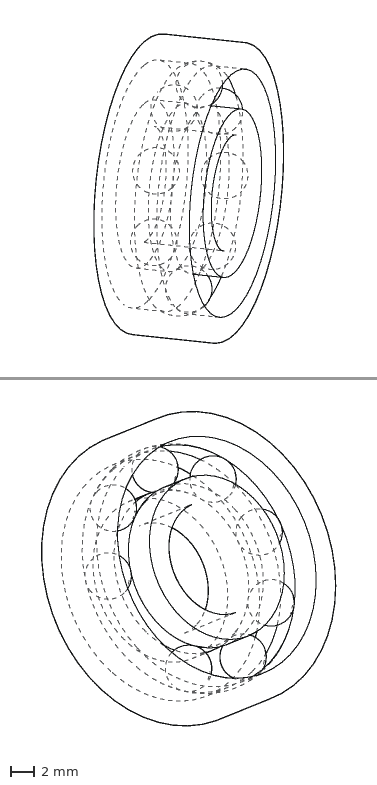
import cadquery as cq
import math

OUTER_DIAMETER = 26.0
BORE_DIAMETER = 10.0
WIDTH = 8.0
INNER_RING_DIAMETER = 14.55
OUTER_RING_BORE = 21.45
EDGE_FILLET = 0.3

BALL_DIAMETER = 4.0
BALL_COUNT = 8
BALL_STEP_ANGLE = 40.75
PITCH_RADIUS = (INNER_RING_DIAMETER + OUTER_RING_BORE) / 4


def plain_ring(outside_diameter, inside_diameter):
    """A flat-faced ring around the X axis."""
    return (
        cq.Workplane("YZ", origin=(-WIDTH / 2, 0, 0))
        .circle(outside_diameter / 2)
        .circle(inside_diameter / 2)
        .extrude(WIDTH)
    )


def make_raceway():
    """The torus swept by a ball rolling around the X axis."""
    return (
        cq.Workplane("XY")
        .center(0, PITCH_RADIUS)
        .circle(BALL_DIAMETER / 2)
        .revolve(360, (0, -PITCH_RADIUS), (1, -PITCH_RADIUS))
    )


def make_outer_ring():
    ring = plain_ring(OUTER_DIAMETER, OUTER_RING_BORE)
    outer_rims = ring.edges(cq.selectors.RadiusNthSelector(-1))
    return outer_rims.fillet(EDGE_FILLET).cut(make_raceway()).solids()


def make_inner_ring():
    ring = plain_ring(INNER_RING_DIAMETER, BORE_DIAMETER)
    bore_rims = ring.edges(cq.selectors.RadiusNthSelector(0))
    return bore_rims.fillet(EDGE_FILLET).cut(make_raceway()).solids()


def make_ball(index):
    """One ball on the pitch circle, with its poles along X."""
    angle = math.radians(index * BALL_STEP_ANGLE)
    centre = (0, PITCH_RADIUS * math.sin(angle), -PITCH_RADIUS * math.cos(angle))
    return cq.Workplane("YZ", origin=centre).sphere(BALL_DIAMETER / 2)


outer_ring = make_outer_ring()
inner_ring = make_inner_ring()
balls = [make_ball(index) for index in range(BALL_COUNT)]

result = cq.Compound.makeCompound(
    [outer_ring.val(), inner_ring.val(), *[ball.val() for ball in balls]]
)